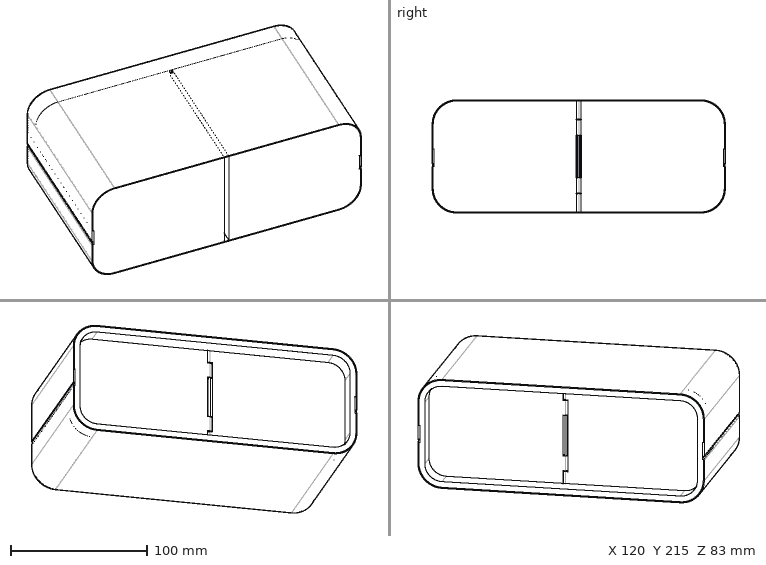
import cadquery as cq
LENGTH = 120.0
WIDTH = 215.0
HEIGHT = 83.0
CORNER_RADIUS = 18.0

SLEEVE_WALL = 0.8
BAND_THICKNESS = 1.5
BAND_TOP = 5.4
BAND_BOTTOM = -7.5
GROOVE_TOP = -5.2
GROOVE_BOTTOM = -8.0
GROOVE_DEPTH = 0.6

FRAME_DEPTH = 14.6
FRAME_BORDER = 5.2

HALF_GAP = 3.7
KNUCKLE_RADIUS = 1.7
PIN_RADIUS = 0.9
KNUCKLE_CLEARANCE = 0.5
INNER_KNUCKLE_TOP = 26.9
INNER_KNUCKLE_BOTTOM = 15.5

SIDES = (1, -1)
CORE_HEIGHT = HEIGHT - 2 * SLEEVE_WALL
HINGE_X = FRAME_DEPTH + KNUCKLE_RADIUS
OUTER_KNUCKLE_BOTTOM = INNER_KNUCKLE_TOP + KNUCKLE_CLEARANCE
KNUCKLE_END = CORE_HEIGHT / 2


def block(x_range, y_range, z_range):
    """Axis-aligned box between two limits on each axis, given in any order."""
    limits = [sorted(pair) for pair in (x_range, y_range, z_range)]
    sizes = [high - low for low, high in limits]
    corner = cq.Vector(*[low for low, _ in limits])
    return cq.Workplane("XY").box(*sizes, centered=False).translate(corner)


def rounded_prism(inset, start_x, end_x):
    """Rounded-rectangle prism along X, set in from the outer envelope."""
    return (
        cq.Workplane("YZ", origin=(start_x, 0, 0))
        .rect(WIDTH - 2 * inset, HEIGHT - 2 * inset)
        .extrude(end_x - start_x)
        .edges("|X")
        .fillet(CORNER_RADIUS - inset)
    )


def side_band(side):
    """Full-length strip occupied by the thick part of the sleeve wall."""
    outer_y = side * WIDTH / 2
    inner_y = side * (WIDTH / 2 - BAND_THICKNESS)
    return block((0, LENGTH), (inner_y, outer_y), (BAND_BOTTOM, BAND_TOP))


def pull_groove(side):
    """Notch with a flat upper ledge and a floor that slopes out downward."""
    outer_y = side * WIDTH / 2
    floor_y = side * (WIDTH / 2 - GROOVE_DEPTH)
    return (
        cq.Workplane("YZ")
        .polyline([(outer_y, GROOVE_TOP), (floor_y, GROOVE_TOP), (outer_y, GROOVE_BOTTOM)])
        .close()
        .extrude(LENGTH)
    )


def make_sleeve():
    sleeve = rounded_prism(0, 0, LENGTH).cut(rounded_prism(SLEEVE_WALL, 0, LENGTH))
    for side in SIDES:
        sleeve = sleeve.union(side_band(side)).cut(pull_groove(side))
    return sleeve


def make_core(start_x, end_x):
    """Solid filling the sleeve, recessed on both sides for its bands."""
    core = rounded_prism(SLEEVE_WALL, start_x, end_x)
    for side in SIDES:
        core = core.cut(side_band(side))
    return core


def make_frame():
    return make_core(0, FRAME_DEPTH).cut(rounded_prism(FRAME_BORDER, 0, FRAME_DEPTH))


def make_plain_half(side):
    """Half of the core behind the frame, short of the middle plane by half the gap."""
    keep = block((FRAME_DEPTH, LENGTH), (side * HALF_GAP / 2, side * WIDTH / 2), (-HEIGHT / 2, HEIGHT / 2))
    return make_core(FRAME_DEPTH, LENGTH).intersect(keep)


def hinge_cylinder(radius, low_z, high_z):
    return cq.Workplane("XY", origin=(HINGE_X, 0, low_z)).circle(radius).extrude(high_z - low_z)


def knuckle(side, low_z, high_z):
    """Round hinge knuckle, flush with the front face, with a web back to its half."""
    web = block(
        (FRAME_DEPTH, FRAME_DEPTH + 2 * KNUCKLE_RADIUS),
        (0, side * HALF_GAP / 2),
        (low_z, high_z),
    )
    return web.union(hinge_cylinder(KNUCKLE_RADIUS, low_z, high_z))


def make_pin_half():
    """Half on the +Y side, with the two inner knuckles and the hinge pin."""
    half = make_plain_half(1)
    half = half.union(knuckle(1, INNER_KNUCKLE_BOTTOM, INNER_KNUCKLE_TOP))
    half = half.union(knuckle(1, -INNER_KNUCKLE_TOP, -INNER_KNUCKLE_BOTTOM))
    return half.union(hinge_cylinder(PIN_RADIUS, -KNUCKLE_END, KNUCKLE_END))


def make_socket_half():
    """Half on the -Y side, with the two outer knuckles bored for the pin."""
    half = make_plain_half(-1)
    half = half.union(knuckle(-1, OUTER_KNUCKLE_BOTTOM, KNUCKLE_END))
    half = half.union(knuckle(-1, -KNUCKLE_END, -OUTER_KNUCKLE_BOTTOM))
    return half.cut(hinge_cylinder(PIN_RADIUS, -KNUCKLE_END, KNUCKLE_END))


sleeve = make_sleeve()
frame = make_frame()
pin_half = make_pin_half()
socket_half = make_socket_half()

result = cq.Compound.makeCompound([sleeve.val(), frame.val(), pin_half.val(), socket_half.val()])